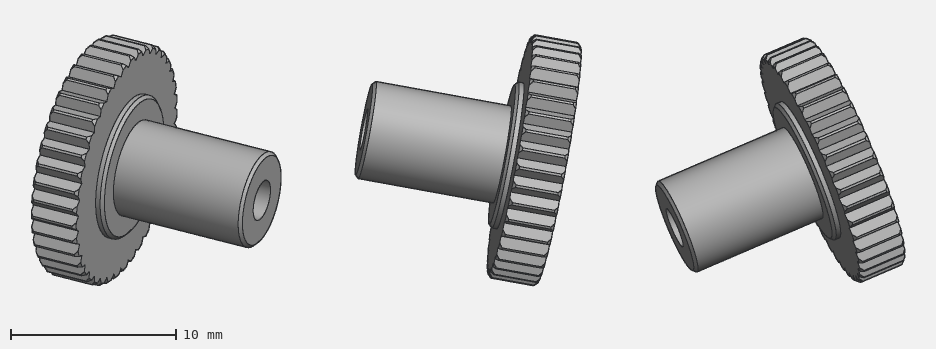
import cadquery as cq
import math

total_length = 12.0
wheel_diameter = 14.99
wheel_thickness = 3.0
collar_diameter = 9.0
collar_thickness = 0.5
shank_diameter = 6.0
bore_diameter = 2.5
edge_chamfer = 0.2

groove_count = 41
groove_root_radius = 7.0
groove_flank_angle = 46.0
groove_overshoot = 0.3


def chamfered_disc(start, thickness, diameter, chamfered_faces):
    """Disc along X beginning at start, with the rims of the selected end faces chamfered."""
    disc = cq.Workplane("YZ", origin=(start, 0, 0)).circle(diameter / 2).extrude(thickness)
    return disc.faces(chamfered_faces).edges().chamfer(edge_chamfer)


def knurl_cutters():
    """V-shaped prisms spaced evenly around the wheel, leaving one tooth centred on -Y."""
    outer_radius = wheel_diameter / 2 + groove_overshoot
    half_width = (outer_radius - groove_root_radius) * math.tan(math.radians(groove_flank_angle))
    cutter = (
        cq.Workplane("YZ")
        .moveTo(groove_root_radius, 0)
        .lineTo(outer_radius, half_width)
        .lineTo(outer_radius, -half_width)
        .close()
        .extrude(wheel_thickness)
    )
    pitch = 360.0 / groove_count
    solids = [
        cutter.rotate((0, 0, 0), (1, 0, 0), i * pitch).val()
        for i in range(groove_count)
    ]
    return cq.Compound.makeCompound(solids)


wheel = chamfered_disc(0, wheel_thickness, wheel_diameter, "<X or >X").cut(knurl_cutters())

collar = chamfered_disc(wheel_thickness, collar_thickness, collar_diameter, ">X")
shank = chamfered_disc(wheel_thickness, total_length - wheel_thickness, shank_diameter, ">X")

bore = cq.Workplane("YZ").circle(bore_diameter / 2).extrude(total_length)

result = wheel.union(collar).union(shank).cut(bore)